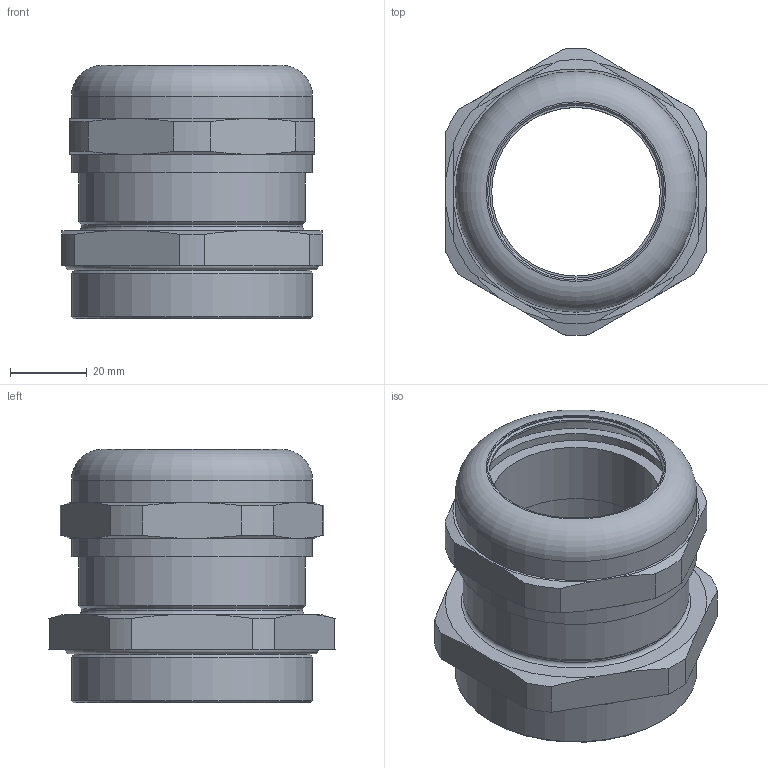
import cadquery as cq
import math

TOTAL_HEIGHT = 66.16

THREAD_RADIUS = 31.5
THREAD_BOTTOM_CHAMFER = 0.5
THREAD_TOP_CHAMFER = 0.75
THREAD_TOP = 12.55

RING_RADIUS = 33.0
RING_BOTTOM = 12.75

BODY_HEX_WIDTH = 68.0
BODY_HEX_CORNER_DIAMETER = 75.0
BODY_HEX_BOTTOM = 13.8
BODY_HEX_TOP = 23.0

NECK_RADIUS = 28.9
NECK_FILLET = 1.05
NECK_TOP = 24.55
BARREL_RADIUS = 29.6
BARREL_BOTTOM = 25.3

CAP_RADIUS = 31.5
CAP_BOTTOM = 38.1
DOME_RADIUS = 8.0
CAP_HEX_WIDTH = 64.0
CAP_HEX_CORNER_DIAMETER = 69.0
CAP_HEX_BOTTOM = 43.0
CAP_HEX_TOP = 52.2

HEX_FACE_MARGIN = 0.2
HEX_CHAMFER_ANGLE = math.radians(17)

MOUTH_RADIUS = 23.1
LIP_RADIUS = 22.6
LIP_CHAMFER_TOP = 65.8
LIP_CHAMFER_BOTTOM = 65.3
LIP_BOTTOM = 64.8
CAVITY_RADIUS = 27.6
CAVITY_FLOOR = 59.1
SEAT_RADIUS = 25.2
SEAT_FLOOR = 56.9
BORE_RADIUS = 22.05
BORE_BOTTOM = 40.5
LOWER_BORE_RADIUS = 22.6


def revolve_profile(profile):
    """Turn a closed (radius, height) profile about the Z axis."""
    return profile.close().revolve(360, (0, 0, 0), (0, 1, 0))


def body():
    """Solid of the entry thread, sealing ring, neck and barrel."""
    ring_height = BODY_HEX_BOTTOM - RING_BOTTOM
    neck_foot_radius = NECK_RADIUS + NECK_FILLET
    outline = (
        cq.Workplane("XZ")
        .lineTo(THREAD_RADIUS - THREAD_BOTTOM_CHAMFER, 0)
        .lineTo(THREAD_RADIUS, THREAD_BOTTOM_CHAMFER)
        .lineTo(THREAD_RADIUS, THREAD_TOP - THREAD_TOP_CHAMFER)
        .lineTo(THREAD_RADIUS - THREAD_TOP_CHAMFER, THREAD_TOP)
        .lineTo(THREAD_RADIUS - THREAD_TOP_CHAMFER, RING_BOTTOM)
        .lineTo(RING_RADIUS - ring_height, RING_BOTTOM)
        .radiusArc((RING_RADIUS, BODY_HEX_BOTTOM), -ring_height)
        .lineTo(neck_foot_radius, BODY_HEX_BOTTOM)
        .lineTo(neck_foot_radius, BODY_HEX_TOP)
        .radiusArc((NECK_RADIUS, BODY_HEX_TOP + NECK_FILLET), NECK_FILLET)
        .lineTo(NECK_RADIUS, NECK_TOP)
        .lineTo(BARREL_RADIUS, BARREL_BOTTOM)
        .lineTo(BARREL_RADIUS, CAP_BOTTOM)
        .lineTo(0, CAP_BOTTOM)
    )
    return revolve_profile(outline)


def cap():
    """Solid of the domed cap nut without its hexagon."""
    dome_start = TOTAL_HEIGHT - DOME_RADIUS
    outline = (
        cq.Workplane("XZ")
        .moveTo(0, CAP_BOTTOM)
        .lineTo(CAP_RADIUS, CAP_BOTTOM)
        .lineTo(CAP_RADIUS, dome_start)
        .radiusArc((CAP_RADIUS - DOME_RADIUS, TOTAL_HEIGHT), -DOME_RADIUS)
        .lineTo(0, TOTAL_HEIGHT)
    )
    return revolve_profile(outline)


def hexagon(width, corner_diameter, bottom, top, cone_at_bottom):
    """Hexagon with flats facing +X and -X, rounded corners and coned end faces."""
    corner_radius = corner_diameter / 2
    face_radius = width / 2 + HEX_FACE_MARGIN
    cone_height = (corner_radius - face_radius) * math.tan(HEX_CHAMFER_ANGLE)
    prism = (
        cq.Workplane("XY", origin=(0, 0, bottom))
        .polygon(6, width, circumscribed=True)
        .extrude(top - bottom)
    )
    blank = cq.Workplane("XZ").moveTo(0, bottom)
    if cone_at_bottom:
        blank = blank.lineTo(face_radius, bottom)
        blank = blank.lineTo(corner_radius, bottom + cone_height)
    else:
        blank = blank.lineTo(corner_radius, bottom)
    blank = blank.lineTo(corner_radius, top - cone_height)
    blank = blank.lineTo(face_radius, top)
    blank = blank.lineTo(0, top)
    return prism.intersect(revolve_profile(blank))


def passage():
    """Space of the stepped bore, the seal seat, the cap cavity and the mouth."""
    outline = (
        cq.Workplane("XZ")
        .lineTo(LOWER_BORE_RADIUS, 0)
        .lineTo(LOWER_BORE_RADIUS, BORE_BOTTOM)
        .lineTo(BORE_RADIUS, BORE_BOTTOM)
        .lineTo(BORE_RADIUS, SEAT_FLOOR)
        .lineTo(SEAT_RADIUS, SEAT_FLOOR)
        .lineTo(SEAT_RADIUS, CAVITY_FLOOR)
        .lineTo(CAVITY_RADIUS, CAVITY_FLOOR)
        .lineTo(LIP_RADIUS, LIP_BOTTOM)
        .lineTo(LIP_RADIUS, LIP_CHAMFER_BOTTOM)
        .lineTo(MOUTH_RADIUS, LIP_CHAMFER_TOP)
        .lineTo(MOUTH_RADIUS, TOTAL_HEIGHT)
        .lineTo(0, TOTAL_HEIGHT)
    )
    return revolve_profile(outline)


body_hexagon = hexagon(BODY_HEX_WIDTH, BODY_HEX_CORNER_DIAMETER, BODY_HEX_BOTTOM, BODY_HEX_TOP, False)
cap_hexagon = hexagon(CAP_HEX_WIDTH, CAP_HEX_CORNER_DIAMETER, CAP_HEX_BOTTOM, CAP_HEX_TOP, True)
result = body().union(cap()).union(body_hexagon).union(cap_hexagon).cut(passage())